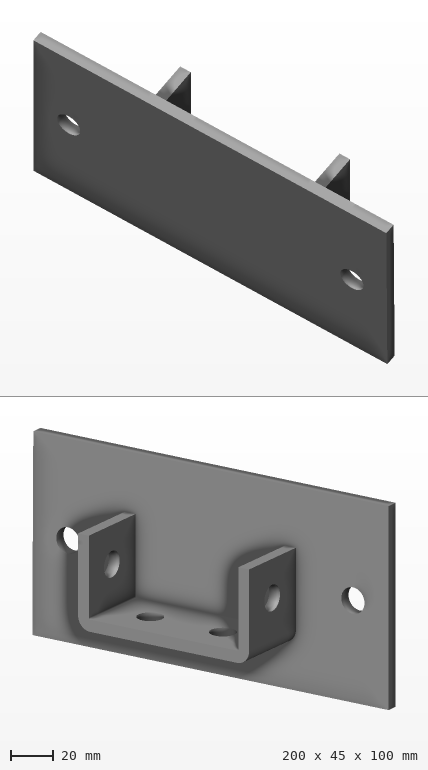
import cadquery as cq

plate_length = 200.0
plate_height = 100.0
plate_thickness = 6.0
right_edge_slant = 0.5
plate_hole_spacing = 160.0

bracket_width = 96.0
bracket_depth = 39.0
bracket_height = 47.0
bracket_top = 20.0
wall = 6.0
inner_bend_radius = 0.8
outer_bend_radius = inner_bend_radius + wall
bracket_bottom = bracket_top - bracket_height

hole_diameter = 13.0
bracket_hole_inset = 19.2
base_hole_spacing = 40.8
hole_y = bracket_depth - bracket_hole_inset
side_hole_z = bracket_top - bracket_hole_inset


def make_plate():
    half_length = plate_length / 2
    half_height = plate_height / 2
    outline = [
        (-half_length, -half_height),
        (half_length, -half_height),
        (half_length - right_edge_slant, half_height),
        (-half_length, half_height),
    ]
    plate = cq.Workplane("XZ").polyline(outline).close().extrude(plate_thickness)
    holes = (
        cq.Workplane("XZ")
        .pushPoints([(-plate_hole_spacing / 2, 0), (plate_hole_spacing / 2, 0)])
        .circle(hole_diameter / 2)
        .extrude(plate_thickness)
    )
    return plate.cut(holes)


def bracket_block(width, bottom, bend_radius):
    """Block from the plate to the bracket's free edge, with rounded lower corners."""
    block = cq.Workplane("XY").box(
        width, bracket_depth, bracket_top - bottom, centered=(True, False, False)
    )
    return block.edges("|Y and <Z").fillet(bend_radius).translate((0, 0, bottom))


def make_bracket():
    outside = bracket_block(bracket_width, bracket_bottom, outer_bend_radius)
    inside = bracket_block(bracket_width - 2 * wall, bracket_bottom + wall, inner_bend_radius)
    base_holes = (
        cq.Workplane("XY", origin=(0, hole_y, bracket_bottom))
        .pushPoints([(-base_hole_spacing / 2, 0), (base_hole_spacing / 2, 0)])
        .circle(hole_diameter / 2)
        .extrude(wall)
    )
    side_holes = (
        cq.Workplane("YZ", origin=(0, hole_y, side_hole_z))
        .circle(hole_diameter / 2)
        .extrude(bracket_width / 2, both=True)
    )
    return outside.cut(inside).cut(base_holes).cut(side_holes)


result = make_plate().union(make_bracket())